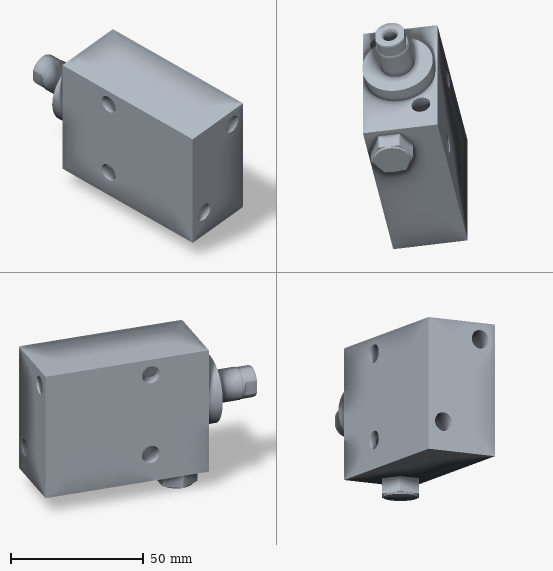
import cadquery as cq
import math

OVERALL_LENGTH = 88.7
BODY_LENGTH = 65.9
BODY_THICKNESS = 28.57
BODY_HEIGHT = 50.8

HOLE_DIAMETER = 7.14
HOLE_ROW_LOW = 11.11
HOLE_ROW_SPACING = 33.34
HOLE_ROW_HIGH = HOLE_ROW_LOW + HOLE_ROW_SPACING
CROSS_HOLE_X = 23.4
LENGTHWISE_HOLE_OFFSET = 7.94

ROD_AXIS_Z = HOLE_ROW_LOW + HOLE_ROW_SPACING / 2
FLANGE_DIAMETER = 27.0
FLANGE_THICKNESS = 5.9
ROD_DIAMETER = 12.7
ROD_REACH = OVERALL_LENGTH - BODY_LENGTH
SHOULDER_TAPER_LENGTH = 0.8
TIP_DIAMETER = 12.2
TIP_LENGTH = 5.45
TIP_ROUND_LENGTH = 0.85
TIP_ROUND_DEPTH = 0.2

WRENCH_WIDTH = 11.0
WRENCH_FLAT_LENGTH = 4.7

BORE_DIAMETER = 5.1
BORE_MOUTH_DIAMETER = 6.6
BORE_LEAD_IN_DIAMETER = 5.8
BORE_LEAD_IN_DEPTH = 1.3
BORE_DEPTH = 12.0
BORE_POINT_ANGLE = 118.0

PLUG_X = 9.6
PLUG_Y = 4.76
PLUG_ACROSS_FLATS = 14.0
PLUG_HEX_HEIGHT = 5.9
PLUG_TOTAL_HEIGHT = 6.53
PLUG_FACE_TAPER = 30.0


def make_body():
    return cq.Workplane("XY").box(
        BODY_LENGTH, BODY_THICKNESS, BODY_HEIGHT, centered=(False, True, False)
    )


def rod_axis_profile():
    """Empty half-section sketch in (x, radius) coordinates about the rod axis."""
    return cq.Workplane("XZ").workplane(origin=(0, 0, ROD_AXIS_Z))


def revolve_about_rod_axis(profile):
    return profile.close().revolve(360, (0, 0, 0), (1, 0, 0))


def make_rod():
    """Flange, rod and tip with a gently rounded rim, as one turned piece."""
    flange_radius = FLANGE_DIAMETER / 2
    rod_radius = ROD_DIAMETER / 2
    tip_radius = TIP_DIAMETER / 2
    shoulder_x = TIP_LENGTH - ROD_REACH
    profile = (
        rod_axis_profile()
        .moveTo(0, 0)
        .lineTo(0, flange_radius)
        .lineTo(-FLANGE_THICKNESS, flange_radius)
        .lineTo(-FLANGE_THICKNESS, rod_radius)
        .lineTo(shoulder_x + SHOULDER_TAPER_LENGTH, rod_radius)
        .lineTo(shoulder_x, tip_radius)
        .lineTo(TIP_ROUND_LENGTH - ROD_REACH, tip_radius)
        .tangentArcPoint((-ROD_REACH, tip_radius - TIP_ROUND_DEPTH), relative=False)
        .lineTo(-ROD_REACH, 0)
    )
    return revolve_about_rod_axis(profile)


def make_wrench_cut(side):
    """Cut for the flat facing +Y (side = 1) or -Y (side = -1), running out at 45 degrees."""
    flat_y = WRENCH_WIDTH / 2
    outer_y = ROD_DIAMETER
    flat_end_x = WRENCH_FLAT_LENGTH - ROD_REACH
    return (
        cq.Workplane("XY")
        .workplane(offset=ROD_AXIS_Z)
        .polyline([
            (-ROD_REACH, side * flat_y),
            (flat_end_x, side * flat_y),
            (flat_end_x + outer_y - flat_y, side * outer_y),
            (-ROD_REACH, side * outer_y),
        ])
        .close()
        .extrude(ROD_DIAMETER / 2, both=True)
    )


def make_bore():
    """Drilled hole with a 45 degree chamfered mouth, a short lead-in taper and a conical bottom."""
    bore_radius = BORE_DIAMETER / 2
    lead_in_radius = BORE_LEAD_IN_DIAMETER / 2
    mouth_radius = BORE_MOUTH_DIAMETER / 2
    point_length = bore_radius / math.tan(math.radians(BORE_POINT_ANGLE / 2))
    profile = rod_axis_profile().polyline([
        (-ROD_REACH, 0),
        (-ROD_REACH, mouth_radius),
        (-ROD_REACH + mouth_radius - lead_in_radius, lead_in_radius),
        (-ROD_REACH + BORE_LEAD_IN_DEPTH, bore_radius),
        (-ROD_REACH + BORE_DEPTH, bore_radius),
        (-ROD_REACH + BORE_DEPTH + point_length, 0),
    ])
    return revolve_about_rod_axis(profile)


def make_plug():
    """Hexagon with two flats square to X, ending in a shallow round face."""
    hexagon = (
        cq.Workplane("XY")
        .polygon(6, PLUG_ACROSS_FLATS, circumscribed=True)
        .extrude(-PLUG_HEX_HEIGHT)
    )
    round_face = (
        cq.Workplane("XY")
        .workplane(offset=-PLUG_HEX_HEIGHT)
        .circle(PLUG_ACROSS_FLATS / 2)
        .extrude(PLUG_HEX_HEIGHT - PLUG_TOTAL_HEIGHT, taper=PLUG_FACE_TAPER)
    )
    return hexagon.union(round_face).translate((PLUG_X, PLUG_Y, 0))


def make_cross_hole(z):
    return (
        cq.Workplane("XZ")
        .center(CROSS_HOLE_X, z)
        .circle(HOLE_DIAMETER / 2)
        .extrude(BODY_THICKNESS / 2, both=True)
    )


def make_lengthwise_hole(y, z):
    return cq.Workplane("YZ").center(y, z).circle(HOLE_DIAMETER / 2).extrude(BODY_LENGTH)


body = make_body()
for row_z in (HOLE_ROW_LOW, HOLE_ROW_HIGH):
    body = body.cut(make_cross_hole(row_z))
body = body.cut(make_lengthwise_hole(LENGTHWISE_HOLE_OFFSET, HOLE_ROW_HIGH))
body = body.cut(make_lengthwise_hole(-LENGTHWISE_HOLE_OFFSET, HOLE_ROW_LOW))

rod = make_rod().cut(make_bore())
for flat_side in (-1, 1):
    rod = rod.cut(make_wrench_cut(flat_side))

result = body.union(rod).union(make_plug())